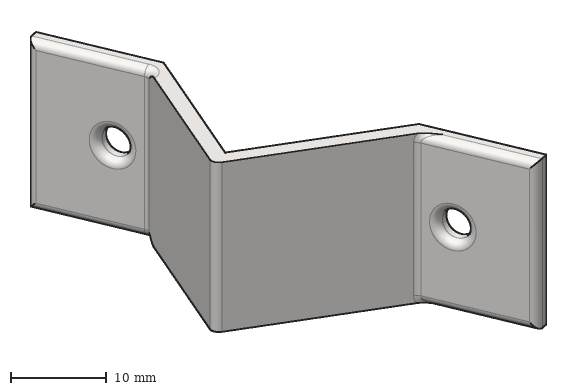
import cadquery as cq
import math

LENGTH = 60.0
HEIGHT = LENGTH / 3
THICKNESS = HEIGHT / 10
ROUND_RADIUS = THICKNESS / 2
V_HALF_WIDTH = LENGTH / 4
HOLE_DIAMETER = 3.5
HOLE_SPACING = 2 * HEIGHT

HALF_LENGTH = LENGTH / 2
FRONT_Y = -THICKNESS
HALF_BEND_TANGENT = math.tan(math.radians(45 / 2))
OUTER_BEND_X = V_HALF_WIDTH + THICKNESS * HALF_BEND_TANGENT
OUTER_TIP_Y = -V_HALF_WIDTH - THICKNESS * math.sqrt(2)
BEND_START_X = OUTER_BEND_X + ROUND_RADIUS * HALF_BEND_TANGENT
BEND_CENTER_Y = FRONT_Y - ROUND_RADIUS
SELECT_MARGIN = 0.05


def edges_near(body, x, y):
    """Vertical edges of the body that pass through the given X, Y point."""
    low = (x - SELECT_MARGIN, y - SELECT_MARGIN, -HEIGHT)
    high = (x + SELECT_MARGIN, y + SELECT_MARGIN, HEIGHT)
    return body.edges("|Z").edges(cq.selectors.BoxSelector(low, high))


def bent_strip():
    """Strip with two flat flanges and a V-shaped middle, too tall until trimmed."""
    return (
        cq.Workplane("XY")
        .polyline([
            (-HALF_LENGTH, 0),
            (-V_HALF_WIDTH, 0),
            (0, -V_HALF_WIDTH),
            (V_HALF_WIDTH, 0),
            (HALF_LENGTH, 0),
            (HALF_LENGTH, FRONT_Y),
            (OUTER_BEND_X, FRONT_Y),
            (0, OUTER_TIP_Y),
            (-OUTER_BEND_X, FRONT_Y),
            (-HALF_LENGTH, FRONT_Y),
        ])
        .close()
        .extrude(HEIGHT, both=True)
    )


def drill_holes(body):
    """Through holes in the flanges, with rounded front rims."""
    hole_points = [(-HOLE_SPACING / 2, 0), (HOLE_SPACING / 2, 0)]
    drills = (
        cq.Workplane("XZ")
        .pushPoints(hole_points)
        .circle(HOLE_DIAMETER / 2)
        .extrude(THICKNESS)
    )
    low = (-HALF_LENGTH, FRONT_Y - SELECT_MARGIN, -HEIGHT)
    high = (HALF_LENGTH, FRONT_Y + SELECT_MARGIN, HEIGHT)
    front_plane = cq.selectors.BoxSelector(low, high)
    return body.cut(drills).edges("%CIRCLE").edges(front_plane).fillet(ROUND_RADIUS)


def rim_section(surface_y):
    """Waste outside a quarter-round on the top front edge, in the YZ plane."""
    inner_y = surface_y + ROUND_RADIUS
    top = HEIGHT / 2
    lower = top - ROUND_RADIUS
    diagonal = ROUND_RADIUS * math.sqrt(0.5)
    return (
        cq.Workplane("YZ")
        .moveTo(surface_y, lower)
        .threePointArc((inner_y - diagonal, lower + diagonal), (inner_y, top))
        .lineTo(surface_y, top)
        .close()
    )


def straight_rim(inner_x, side):
    """Waste along the top front edge of a flange, from inner_x to its free end."""
    start = side * inner_x
    return rim_section(FRONT_Y).extrude(side * (HALF_LENGTH - inner_x)).translate((start, 0, 0))


def bend_rim():
    """Waste that carries the rounded top edge around the left bend and out of the wall."""
    return (
        rim_section(ROUND_RADIUS)
        .revolve(180, (0, 0, 0), (0, -1, 0))
        .translate((-BEND_START_X, BEND_CENTER_Y, 0))
    )


def beyond_right_wall():
    """Space on the flange side of the right wall's outer plane."""
    return (
        cq.Workplane("XY")
        .polyline([(0, OUTER_TIP_Y), (-OUTER_TIP_Y, 0), (LENGTH, 0), (LENGTH, OUTER_TIP_Y)])
        .close()
        .extrude(HEIGHT, both=True)
    )


def slab():
    """Block wider than the part, with its final height."""
    return cq.Workplane("XY").box(2 * LENGTH, 2 * LENGTH, HEIGHT)


def cut_top_and_bottom(body, waste):
    """Cut the waste and its mirror image from the body."""
    return body.cut(waste).cut(waste.mirror("XY"))


def shape_right_bend(body):
    """Round the right flange's rims, blend the flange into the wall and trim the height.

    The wall stays tall during the blend, so that the bend round can climb over the rims
    before the ends are trimmed flat.
    """
    flange_space = beyond_right_wall()
    body = body.cut(flange_space.cut(slab()))
    rim = straight_rim(OUTER_BEND_X, 1).intersect(flange_space)
    body = cut_top_and_bottom(body, rim)
    body = edges_near(body, OUTER_BEND_X, FRONT_Y).fillet(ROUND_RADIUS)
    return body.intersect(slab())


def shape_left_bend(body):
    """Round the left bend, then the rims along the flange and around the bend."""
    body = edges_near(body, -OUTER_BEND_X, FRONT_Y).fillet(ROUND_RADIUS)
    for waste in (straight_rim(BEND_START_X, -1), bend_rim()):
        body = cut_top_and_bottom(body, waste)
    return body


body = bent_strip()
outer_edges = [(0, OUTER_TIP_Y), (-HALF_LENGTH, FRONT_Y), (HALF_LENGTH, FRONT_Y)]
for x, y in outer_edges:
    body = edges_near(body, x, y).fillet(ROUND_RADIUS)
body = shape_right_bend(body)
body = shape_left_bend(body)
result = drill_holes(body)